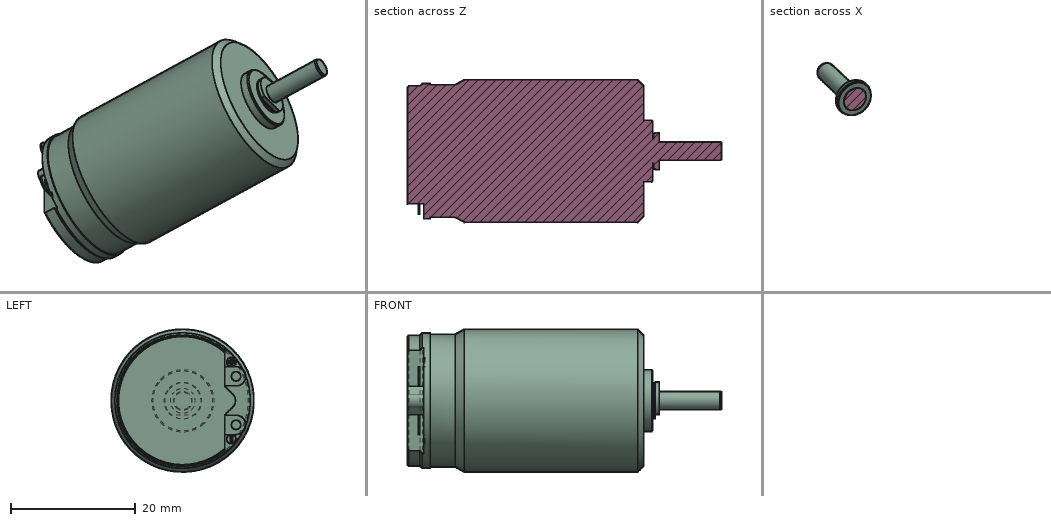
import cadquery as cq
import math


cap_chamfer_length = 0.2
cap_end = 2.0
ring_start = 2.4
recess_floor = 2.6
ring_end = 3.65
neck_end = 7.7
body_start = 9.15
body_end = 38.0
body_chamfer = 1.0
boss_end = 39.45
boss_chamfer = 0.2
washer_start = 39.6
clip_start = 39.85
clip_end = 40.5
overall_length = 50.5
shaft_chamfer_length = 0.3
shaft_chamfer_depth = 0.1

body_radius = 11.5
ring_radius = 10.9
neck_radius = 10.7
cap_radius = 10.55
cap_face_radius = 10.3
boss_radius = 5.0
spacer_radius = 2.0
washer_radius = 2.9
clip_radius = 3.0
shaft_radius = 1.5
clip_flat_z = -2.25

recess_wall_y = -6.8
nose_half_width = 2.3
nose_arc_half_width = 1.0

tab_spacing = 7.8
tab_width = 3.1
tab_start = 1.7
tab_thickness = 0.3
tab_hole_y = -8.6
tab_hole_radius = 0.75

mark_y = -7.85
mark_radius = 0.75
mark_depth = 0.2
mark_z = tab_spacing / 2 + tab_width / 2 + mark_radius
ridge_width = 0.4


def make_housing():
    """Cap, ring, neck, body, boss, washer and shaft, turned about X."""
    profile = [
        (0, 0),
        (0, cap_face_radius),
        (cap_chamfer_length, cap_radius),
        (cap_end, cap_radius),
        (ring_start, ring_radius),
        (ring_end, ring_radius),
        (ring_end, neck_radius),
        (neck_end, neck_radius),
        (body_start, body_radius),
        (body_end - body_chamfer, body_radius),
        (body_end, body_radius - body_chamfer),
        (body_end, boss_radius),
        (boss_end - boss_chamfer, boss_radius),
        (boss_end, boss_radius - boss_chamfer),
        (boss_end, spacer_radius),
        (washer_start, spacer_radius),
        (washer_start, washer_radius),
        (clip_start, washer_radius),
        (clip_start, shaft_radius),
        (overall_length - shaft_chamfer_length, shaft_radius),
        (overall_length, shaft_radius - shaft_chamfer_depth),
        (overall_length, 0),
    ]
    return cq.Workplane("XY").polyline(profile).close().revolve(360, (0, 0, 0), (1, 0, 0))


def make_clip():
    """Retaining disc on the shaft, flattened on its underside."""
    length = clip_end - clip_start
    disc = cq.Workplane("YZ", origin=(clip_start, 0, 0)).circle(clip_radius).extrude(length)
    keep = cq.Workplane("XY", origin=(clip_start, 0, clip_flat_z)).box(
        length, 2 * clip_radius, 2 * clip_radius, centered=(False, True, False)
    )
    return disc.intersect(keep)


def make_recess():
    """Cutter behind the straight wall, leaving the rounded 45 degree nose."""
    arc_start_y = recess_wall_y - (nose_half_width - nose_arc_half_width)
    nose_radius = nose_arc_half_width * math.sqrt(2)
    nose_tip_y = arc_start_y - (nose_radius - nose_arc_half_width)
    return (
        cq.Workplane("YZ")
        .moveTo(recess_wall_y, body_radius)
        .lineTo(recess_wall_y, nose_half_width)
        .lineTo(arc_start_y, nose_arc_half_width)
        .threePointArc((nose_tip_y, 0), (arc_start_y, -nose_arc_half_width))
        .lineTo(recess_wall_y, -nose_half_width)
        .lineTo(recess_wall_y, -body_radius)
        .lineTo(-body_radius, -body_radius)
        .lineTo(-body_radius, body_radius)
        .close()
        .extrude(recess_floor)
    )


def make_tab(center_z):
    """Round-ended terminal tab with a wire hole, rooted inside the recess wall."""
    root_y = recess_wall_y + tab_thickness
    half_width = tab_width / 2
    return (
        cq.Workplane("YZ", origin=(tab_start, 0, center_z))
        .moveTo(root_y, half_width)
        .lineTo(tab_hole_y, half_width)
        .threePointArc((tab_hole_y - half_width, 0), (tab_hole_y, -half_width))
        .lineTo(root_y, -half_width)
        .close()
        .moveTo(tab_hole_y, 0)
        .circle(tab_hole_radius)
        .extrude(tab_thickness)
    )


def make_ridge():
    """Triangular ridge along Z, centred on the axis, with its crest at the recess floor."""
    half_width = ridge_width / 2
    sink_bottom = recess_floor + mark_depth
    return (
        cq.Workplane("XY", origin=(0, 0, -mark_radius))
        .polyline([(sink_bottom, -half_width), (recess_floor, 0), (sink_bottom, half_width)])
        .close()
        .extrude(2 * mark_radius)
    )


def make_mark_cutter(center_z, ridge_angles):
    """Round sink minus its ridges; each ridge angle is measured from Z about X."""
    cutter = cq.Workplane("YZ", origin=(recess_floor, 0, 0)).circle(mark_radius).extrude(mark_depth)
    for angle in ridge_angles:
        cutter = cutter.cut(make_ridge().rotate((0, 0, 0), (1, 0, 0), angle))
    return cutter.translate((0, mark_y, center_z))


result = make_housing().union(make_clip()).cut(make_recess())
for side in (1, -1):
    result = result.union(make_tab(side * tab_spacing / 2))
result = result.cut(make_mark_cutter(mark_z, (0, 90)))
result = result.cut(make_mark_cutter(-mark_z, (0,)))